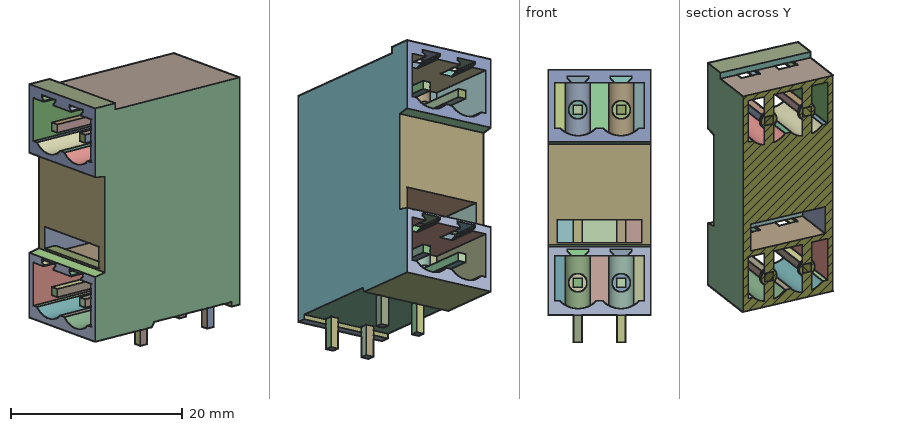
import cadquery as cq


width = 12.0
depth = 22.0
height = 28.65
roof_drop = 0.75
block_depth = 3.1
tier_pitch = 20.2

wall_setback = 1.45
wall_low_z = 8.22
wall_high_z = 19.97
wall_flare = 0.25

relief_height = 0.57
relief_front_y = 9.0
relief_slope = 0.38
rear_foot_depth = 1.25

pin_size = 1.02
pin_pitch = 5.05
pin_z = 3.8
pin_tip_y = 0.95
leg_bottom_z = -3.2
front_leg_y = 9.87
leg_spacing = 10.15

socket_width = 10.48
socket_depth = front_leg_y
socket_ledge_z = 1.65
socket_top_z = 6.95
lobe_bottom_z = 0.75
lobe_radius = 2.93
way_pitch = 5.0
column_radius = 1.48
collar_radius = 1.067
collar_reach = 0.15

notch_width = 2.5
notch_mouth = 1.72
notch_side = 0.25
notch_length = 4.08

window_width = 9.85
window_top_z = 11.1

lower_block_top = height - tier_pitch
lower_roof_z = lower_block_top - roof_drop
rear_leg_y = front_leg_y + leg_spacing
window_depth = rear_leg_y - pin_size / 2
tiers = ((0, front_leg_y), (tier_pitch, rear_leg_y))


def pair(pitch):
    """X centres of the two ways."""
    return (-pitch / 2, pitch / 2)


def make_box(x_size, y_start, y_end, z_start, z_end, x_centre=0):
    block = cq.Workplane("XY").box(x_size, y_end - y_start, z_end - z_start, centered=(True, False, False))
    return block.translate((x_centre, y_start, z_start))


def make_rod(x, z, radius, y_start, y_end):
    """Round rod along Y."""
    return cq.Workplane("XZ", origin=(x, y_start, z)).circle(radius).extrude(y_start - y_end)


def make_block():
    """Outer shape of the housing, the same across its full width."""
    rear_foot_y = depth - rear_foot_depth
    outline = [
        (0, 0),
        (relief_front_y - relief_slope, 0),
        (relief_front_y, relief_height),
        (rear_foot_y, relief_height),
        (rear_foot_y, 0),
        (depth, 0),
        (depth, height - roof_drop),
        (block_depth, height - roof_drop),
        (block_depth, height),
        (0, height),
        (0, wall_high_z + wall_flare),
        (wall_setback, wall_high_z),
        (wall_setback, wall_low_z),
        (0, wall_low_z - wall_flare),
    ]
    return cq.Workplane("YZ").polyline(outline).close().extrude(width / 2, both=True)


def make_window():
    """Opening that reaches back to the rear legs; its floor drops behind the lower socket block."""
    opening = make_box(window_width, 0, window_depth, lower_block_top, window_top_z)
    rear_drop = make_box(window_width, block_depth, window_depth, lower_roof_z, lower_block_top)
    return opening.union(rear_drop)


def make_lobe(x):
    """Rounded trough in the socket floor."""
    cylinder = make_rod(x, lobe_bottom_z + lobe_radius, lobe_radius, 0, socket_depth)
    return cylinder.intersect(make_box(width, 0, socket_depth, 0, socket_ledge_z))


def make_column(x):
    """Upright round column around the leg position, with the pin's collar in front."""
    column = cq.Workplane("XY").center(x, front_leg_y).circle(column_radius).extrude(socket_top_z)
    collar_front_y = front_leg_y - column_radius - collar_reach
    return column.union(make_rod(x, pin_z, collar_radius, collar_front_y, front_leg_y))


def make_notch(x):
    """Notch with upright sides that narrows at 45 degrees to an upright throat."""
    half = notch_width / 2
    half_mouth = notch_mouth / 2
    shoulder_z = lower_roof_z - notch_side
    throat_z = shoulder_z - (half - half_mouth)
    right_side = [
        (x + half, lower_roof_z),
        (x + half, shoulder_z),
        (x + half_mouth, throat_z),
        (x + half_mouth, socket_top_z),
    ]
    left_side = [(2 * x - point_x, z) for point_x, z in reversed(right_side)]
    return cq.Workplane("XZ").polyline(right_side + left_side).close().extrude(-notch_length)


def make_socket():
    """Space to remove for the lower socket; the columns stay standing in it."""
    socket = make_box(socket_width, 0, socket_depth, socket_ledge_z, socket_top_z)
    for x in pair(way_pitch):
        socket = socket.union(make_lobe(x))
    for x in pair(pin_pitch):
        socket = socket.cut(make_column(x))
    for x in pair(way_pitch):
        socket = socket.union(make_notch(x))
    return socket


def make_contact(x, rise, leg_y):
    """Square L-shaped contact: a pin toward the front and a leg downward."""
    half = pin_size / 2
    top_z = rise + pin_z + half
    pin = make_box(pin_size, pin_tip_y, leg_y + half, top_z - pin_size, top_z, x)
    leg = make_box(pin_size, leg_y - half, leg_y + half, leg_bottom_z, top_z, x)
    return pin.union(leg)


def make_housing(contacts):
    """Block with its window, its sockets and a fitting passage for every contact."""
    housing = make_block().cut(make_window())
    socket = make_socket()
    for rise, _ in tiers:
        housing = housing.cut(socket.translate((0, 0, rise)))
    for contact in contacts:
        housing = housing.cut(contact)
    return housing


contacts = [make_contact(x, rise, leg_y) for rise, leg_y in tiers for x in pair(pin_pitch)]
housing = make_housing(contacts)

result = cq.Compound.makeCompound([housing.val(), *[contact.val() for contact in contacts]])